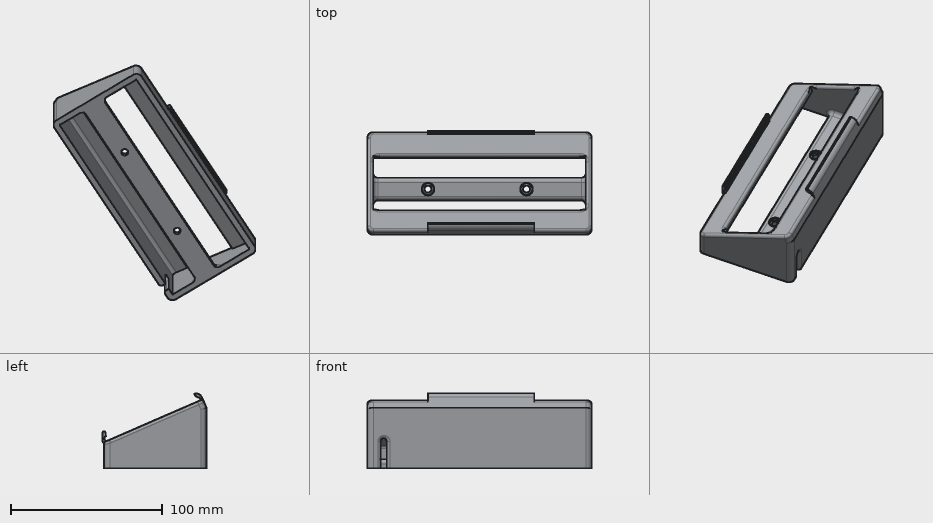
import cadquery as cq
import math

length = 148
depth = 67.8
wall = 4.0
slope_angle = 23.5
front_height = 40
bevel_length = 6.2
corner_radius = 4.0
edge_radius = corner_radius / 2

opening_setback = 15.8
opening_width = 38.3
opening_corner = 4.0
rim_radius = 1.9

bar_front = 22.6
bar_width = 15.1
bar_height = 6.0
bar_radius = 3

hole_diameter = 4.5
head_diameter = 7.5
head_depth = 2.0
head_rim = 0.5
hole_spacing = 65.0
hole_shift = -1.5

slot_width = 4.0
slot_x = -63.2
slot_straight = 17.9

clip_length = 70.2
clip_shift = 1.0
overhang = 0.9
total_height = 49.6
back_clip_rise = 7.4
clip_rise = 1.8

sine = math.sin(math.radians(slope_angle))
cosine = math.cos(math.radians(slope_angle))
slope = sine / cosine
top_edge_y = bevel_length * sine
top_edge_z = front_height + bevel_length * cosine
top_normal = cq.Vector(0, sine, cosine)
top_face = cq.selectors.DirectionNthSelector(top_normal, -1)
inner_length = length - 2 * wall
margin = 0.1


def top_z(y):
    """Height of the sloping top face at depth y."""
    return top_edge_z - slope * (y - top_edge_y)


def extrude_along_x(sketch, width, centre):
    """Extrude a side outline (Y, Z) by width, about the given X."""
    return sketch.extrude(width / 2, both=True).translate((centre, 0, 0))


def make_shell():
    outline = cq.Workplane("YZ").polyline([
        (0, 0),
        (0, front_height),
        (top_edge_y, top_edge_z),
        (depth, top_z(depth)),
        (depth, 0),
    ]).close()
    body = extrude_along_x(outline, length, 0)
    end_edges = body.faces("<Y or >Y").edges("|Z")
    bevel_edges = body.edges(cq.selectors.ParallelDirSelector(top_normal))
    body = end_edges.add(bevel_edges).fillet(corner_radius)
    body = body.faces(top_face).edges().fillet(edge_radius)

    ceiling_drop = wall / cosine
    inner_back = depth - wall
    cavity_outline = cq.Workplane("YZ").polyline([
        (wall, 0),
        (wall, top_z(wall) - ceiling_drop),
        (inner_back, top_z(inner_back) - ceiling_drop),
        (inner_back, 0),
    ]).close()
    cavity = extrude_along_x(cavity_outline, inner_length, 0)
    ceiling_ends = cavity.faces(">Z").edges("|X")
    cavity = ceiling_ends.fillet(edge_radius)
    return body.cut(cavity)


def cut_opening(body):
    """Long rounded opening through the top plate, square to the slope."""
    top_plane = cq.Plane(
        origin=(0, top_edge_y, top_edge_z),
        xDir=(1, 0, 0),
        normal=top_normal.toTuple(),
    )
    square_cutter = (
        cq.Workplane(top_plane)
        .center(0, opening_setback + opening_width / 2)
        .rect(inner_length, opening_width)
        .extrude(2 * wall, both=True)
    )
    upright_edges = square_cutter.edges(cq.selectors.ParallelDirSelector(top_normal))
    body = body.cut(upright_edges.fillet(opening_corner))
    rim = body.faces(top_face).val().innerWires()[0]
    body = body.newObject(rim.Edges()).fillet(rim_radius)
    return body.cut(square_cutter)


def add_bar(body):
    """Screw bar along the floor, blended into both end walls."""
    bar = (
        cq.Workplane("XY")
        .box(inner_length, bar_width, bar_height, centered=(True, False, False))
        .translate((0, bar_front, 0))
        .edges("|X and >Z")
        .fillet(bar_radius)
    )
    body = body.union(bar)
    joints = []
    for side in (-1, 1):
        wall_x = side * inner_length / 2
        zone = cq.selectors.BoxSelector(
            (wall_x - margin, bar_front - margin, margin),
            (wall_x + margin, bar_front + bar_width + margin, bar_height + margin),
        )
        joints += body.edges(zone).vals()
    body = body.newObject(joints).fillet(bar_radius)

    bar_middle = bar_front + bar_width / 2
    for side in (-1, 1):
        hole_x = hole_shift + side * hole_spacing / 2
        place = cq.Workplane("XY").center(hole_x, bar_middle)
        body = body.cut(place.circle(hole_diameter / 2).extrude(bar_height))
        seat = (
            place.workplane(offset=bar_height - head_depth)
            .circle(head_diameter / 2)
            .extrude(head_depth)
        )
        rim = (
            place.workplane(offset=bar_height - head_rim)
            .circle(head_diameter / 2)
            .workplane(offset=head_rim)
            .circle(head_diameter / 2 + head_rim)
            .loft()
        )
        body = body.cut(seat).cut(rim)
    return body


def cut_cable_slot(body):
    """Round-topped slot up from the bottom of the front wall, rounded outside."""
    half = slot_width / 2
    cutter = (
        cq.Workplane("XZ")
        .moveTo(slot_x - half, 0)
        .lineTo(slot_x - half, slot_straight)
        .threePointArc((slot_x, slot_straight + half), (slot_x + half, slot_straight))
        .lineTo(slot_x + half, 0)
        .close()
        .extrude(-wall)
    )
    body = body.cut(cutter)
    rim_zone = cq.selectors.BoxSelector(
        (slot_x - slot_width, -margin, margin),
        (slot_x + slot_width, margin, slot_straight + slot_width),
    )
    return body.edges(rim_zone).fillet(edge_radius)


def front_clip():
    """Lip that carries the bevel upward and hooks back over the plate."""
    outline = (
        cq.Workplane("YZ", origin=(0, top_edge_y, top_edge_z))
        .moveTo(-top_edge_y, front_height - top_edge_z)
        .lineTo(clip_rise * sine, clip_rise * cosine)
        .threePointArc((1.8, 2.8), (4.5, total_height - top_edge_z))
        .lineTo(5.6, 3.5)
        .threePointArc((4.5, 1.8), (2.7, 1.0))
        .threePointArc((1.6, 0.5), (1.3, -0.9))
        .lineTo(1.0, -2.0)
        .close()
    )
    return extrude_along_x(outline, clip_length, clip_shift)


def back_clip():
    """Upright lip behind the plate with a bead facing the front."""
    outline = (
        cq.Workplane("YZ", origin=(0, depth + overhang, top_z(depth)))
        .moveTo(-overhang, -0.7)
        .lineTo(0, 0.6)
        .lineTo(0, 6.0)
        .threePointArc((-0.5, 7.1), (-1.5, back_clip_rise))
        .lineTo(-2.2, 6.0)
        .lineTo(-2.4, 4.0)
        .threePointArc((-1.3, 2.5), (-2.4, 1.0))
        .lineTo(-2.8, -0.7)
        .close()
    )
    return extrude_along_x(outline, clip_length, clip_shift)


shell = cut_cable_slot(add_bar(cut_opening(make_shell())))
result = shell.union(front_clip()).union(back_clip())